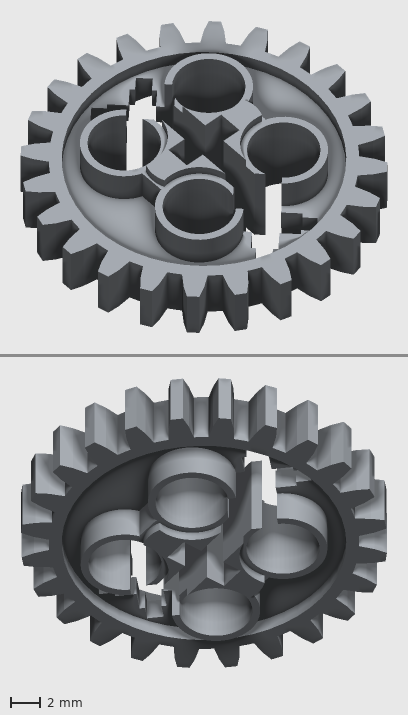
import cadquery as cq
import math

GEAR_THICKNESS = 3.76
WEB_THICKNESS = 1.62
TUBE_HEIGHT = 6.37
HUB_HEIGHT = 7.73

TOOTH_COUNT = 24
TIP_RADIUS = 12.63
FLANK_BREAK_RADIUS = 11.75
ROOT_RADIUS = 10.68
TIP_HALF_WIDTH = 0.43
FLANK_BREAK_HALF_WIDTH = 0.7
ROOT_HALF_WIDTH = 0.88
TOOTH_OVERLAP = 0.25
RECESS_RADIUS = 9.8

TUBE_OFFSET = 3.9
TUBE_BORE_RADIUS = 2.53
TUBE_OUTER_RADIUS = 3.05
HUB_CLEARANCE_RADIUS = 3.0

BRIDGE_WIDTH = 1.92
BRIDGE_HALF_LENGTH = 4.82
HUB_HALF_LENGTH = 4.7
HUB_END_RADIUS = 2.35

AXLE_SLOT_WIDTH = 1.9
AXLE_HALF_LENGTH = 2.42
SIDE_HOLE_OFFSET = 6.5
SIDE_HOLE_HALF_LENGTH = 2.32
SIDE_HOLE_OUTER_REACH = 2.42
RELIEF_WIDTH = 1.15
RELIEF_REACH = 3.49


def disc(radius, height):
    """Cylinder on the Z axis, centred on the mid plane."""
    return cq.Workplane("XY").circle(radius).extrude(height / 2, both=True)


def block(length_x, length_y, height):
    """Box centred on the origin."""
    return cq.Workplane("XY").box(length_x, length_y, height)


def tube_cylinders(radius, height):
    """One cylinder at each of the four tube centres."""
    spacing = 2 * TUBE_OFFSET
    return (
        cq.Workplane("XY")
        .rarray(spacing, spacing, 2, 2)
        .circle(radius)
        .extrude(height / 2, both=True)
    )


def make_tooth():
    """Tooth pointing along +Y, with two flat facets on each flank."""
    right_side = [
        (ROOT_HALF_WIDTH, ROOT_RADIUS - TOOTH_OVERLAP),
        (ROOT_HALF_WIDTH, math.sqrt(ROOT_RADIUS**2 - ROOT_HALF_WIDTH**2)),
        (FLANK_BREAK_HALF_WIDTH, FLANK_BREAK_RADIUS),
        (TIP_HALF_WIDTH, TIP_RADIUS),
    ]
    left_side = [(-x, y) for x, y in reversed(right_side)]
    outline = cq.Workplane("XY").polyline(right_side + left_side).close()
    return outline.extrude(GEAR_THICKNESS / 2, both=True)


def make_rim():
    """Toothed ring around the thinner web."""
    rim = disc(ROOT_RADIUS, GEAR_THICKNESS)
    tooth = make_tooth()
    for index in range(TOOTH_COUNT):
        angle = index * 360 / TOOTH_COUNT
        rim = rim.union(tooth.rotate((0, 0, 0), (0, 0, 1), angle))
    return rim.cut(disc(RECESS_RADIUS, GEAR_THICKNESS))


def make_hub():
    """Tall hub with rounded ends, hollowed where it meets the tubes."""
    hub = block(2 * TUBE_OFFSET, 2 * TUBE_OFFSET, HUB_HEIGHT)
    end_centre = HUB_HALF_LENGTH - HUB_END_RADIUS
    for side in (-1, 1):
        hub_end = disc(HUB_END_RADIUS, HUB_HEIGHT)
        hub = hub.union(hub_end.translate((0, side * end_centre, 0)))
    return hub.cut(tube_cylinders(HUB_CLEARANCE_RADIUS, HUB_HEIGHT))


def make_cross(half_length_x, half_length_y):
    """Cross of two slots, tall enough to pass through the whole part."""
    arm_x = block(2 * half_length_x, AXLE_SLOT_WIDTH, HUB_HEIGHT)
    arm_y = block(AXLE_SLOT_WIDTH, 2 * half_length_y, HUB_HEIGHT)
    return arm_x.union(arm_y)


def half_slot(reach, width):
    """Through slot from the Z axis out along -X."""
    return block(reach, width, HUB_HEIGHT).translate((-reach / 2, 0, 0))


def make_side_hole():
    """Diagonal axle hole on the -X side; its two outer arms end in narrower reliefs."""
    hole = make_cross(SIDE_HOLE_HALF_LENGTH, SIDE_HOLE_HALF_LENGTH)
    outer_arm = half_slot(SIDE_HOLE_OUTER_REACH, AXLE_SLOT_WIDTH)
    outer_arm = outer_arm.union(half_slot(RELIEF_REACH, RELIEF_WIDTH))
    hole = hole.union(outer_arm)
    hole = hole.union(outer_arm.rotate((0, 0, 0), (0, 0, 1), 90))
    hole = hole.rotate((0, 0, 0), (0, 0, 1), -45)
    return hole.translate((-SIDE_HOLE_OFFSET, 0, 0))


body = make_rim().union(disc(RECESS_RADIUS, WEB_THICKNESS))
body = body.union(tube_cylinders(TUBE_OUTER_RADIUS, TUBE_HEIGHT))
body = body.union(block(BRIDGE_WIDTH, 2 * BRIDGE_HALF_LENGTH, TUBE_HEIGHT))
body = body.union(make_hub())

body = body.cut(tube_cylinders(TUBE_BORE_RADIUS, HUB_HEIGHT))
body = body.cut(make_cross(SIDE_HOLE_OFFSET, AXLE_HALF_LENGTH))
side_hole = make_side_hole()
body = body.cut(side_hole)
result = body.cut(side_hole.mirror("YZ"))